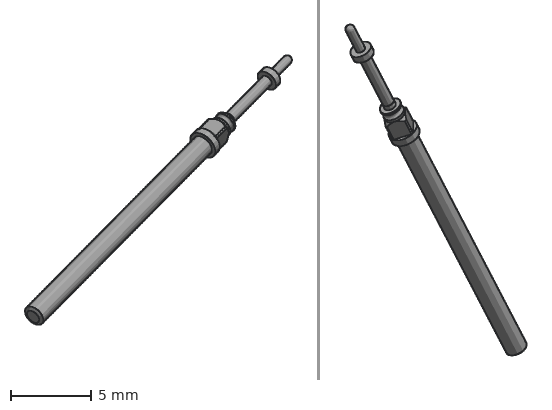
import cadquery as cq

total_length = 28.0
collar_start = 2.03
collar_end = 2.52
shaft_root_start = 6.6
neck_start = 6.93
groove_center = 7.285
head_start = 7.68
flange_start = 9.0
flange_end = 9.5
contact_chamfer_length = 0.12

tail_radius = 0.3
shaft_radius = 0.375
shaft_root_radius = 0.39
body_radius = 0.7
flange_radius = 0.95
contact_face_radius = 0.46

tail_tip_fillet = 0.28
groove_radius = 0.21
groove_depth = 0.16

head_across_flats = 2 * body_radius
head_blank_radius = 0.92
head_chamfer = head_blank_radius - body_radius

tip_y = flange_end


def revolve_profile(profile):
    """Revolve (radius, distance from tail tip) points, closed along the axis, about Y."""
    first_station = profile[0][1]
    last_station = profile[-1][1]
    points = [(0, tip_y - first_station)]
    points += [(radius, tip_y - station) for radius, station in profile]
    points += [(0, tip_y - last_station)]
    return cq.Workplane("XY").polyline(points).close().revolve(360, (0, 0, 0), (0, 1, 0))


def make_tail():
    """Thin round-tipped tail, round collar and shaft."""
    tail = revolve_profile([
        (tail_radius, 0),
        (tail_radius, collar_start),
        (body_radius, collar_start),
        (body_radius, collar_end),
        (shaft_radius, collar_end),
        (shaft_radius, shaft_root_start),
        (shaft_root_radius, shaft_root_start),
        (shaft_root_radius, neck_start),
    ])
    return tail.faces(">Y").edges().fillet(tail_tip_fillet)


def make_grooved_neck():
    """Short round neck with a round-bottomed groove around its surface, leading to the head."""
    neck = revolve_profile([
        (body_radius, neck_start),
        (body_radius, head_start),
    ])
    groove_center_radius = body_radius - groove_depth + groove_radius
    groove = (
        cq.Workplane("XY")
        .center(groove_center_radius, tip_y - groove_center)
        .circle(groove_radius)
        .revolve(360, (-groove_center_radius, 0, 0), (-groove_center_radius, 1, 0))
    )
    return neck.cut(groove)


def make_square_head():
    """Square head with rounded corners and a conical leading edge."""
    blank = revolve_profile([
        (body_radius, head_start),
        (head_blank_radius, head_start + head_chamfer),
        (head_blank_radius, flange_start),
    ])
    head_length = flange_start - head_start
    square = cq.Workplane("XY").box(head_across_flats, head_length, head_across_flats)
    square = square.translate((0, tip_y - (head_start + flange_start) / 2, 0))
    return blank.intersect(square)


def make_body():
    """Flange and long cylindrical barrel with a tapered contact end."""
    return revolve_profile([
        (flange_radius, flange_start),
        (flange_radius, flange_end),
        (body_radius, flange_end),
        (body_radius, total_length - contact_chamfer_length),
        (contact_face_radius, total_length),
    ])


result = make_tail().union(make_grooved_neck()).union(make_square_head()).union(make_body())